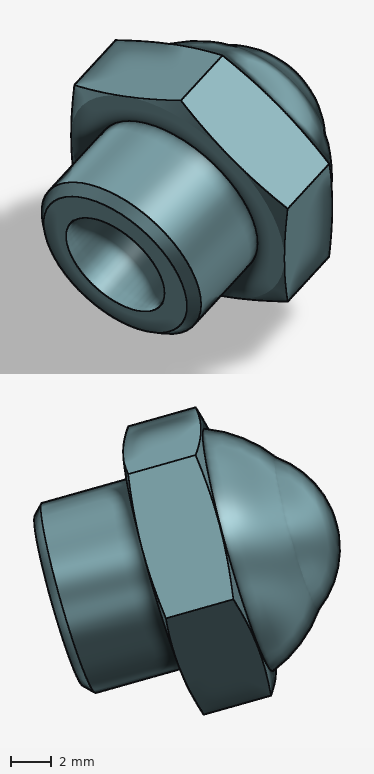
import cadquery as cq
import math


shank_diameter = 9.73
shank_length = 5.2
shank_chamfer = 0.5

hex_across_flats = 13.0
hex_thickness = 4.0
hex_chamfer_angle = 15.0

dome_base_radius = 6.2
dome_base_height = 3.0
tip_edge_radius = 3.9
tip_height = 2.0

bore_diameter = 6.0

flat_radius = hex_across_flats / 2
corner_radius = flat_radius / math.cos(math.radians(30))
hex_start = shank_length
hex_end = hex_start + hex_thickness
tip_start = hex_end + dome_base_height
tip_end = tip_start + tip_height


def revolve_profile(profile):
    """Revolve a closed XY half profile around the Y axis."""
    return profile.close().revolve(360, (0, 0, 0), (0, 1, 0))


def point_on_sphere(center_y, radius, y):
    """Profile point, at height y, of a sphere centred on the Y axis."""
    return (math.sqrt(radius**2 - (y - center_y)**2), y)


def make_shank():
    shank = cq.Workplane("XZ").circle(shank_diameter / 2).extrude(-hex_end)
    return shank.faces("<Y").chamfer(shank_chamfer)


def make_hexagon():
    prism = (
        cq.Workplane("XZ", origin=(0, hex_start, 0))
        .polygon(6, 2 * corner_radius)
        .extrude(-hex_thickness)
        .rotate((0, 0, 0), (0, 1, 0), 30)
    )
    corner_drop = (corner_radius - flat_radius) * math.tan(math.radians(hex_chamfer_angle))
    corner_trim = revolve_profile(
        cq.Workplane("XY")
        .moveTo(0, hex_start)
        .lineTo(flat_radius, hex_start)
        .lineTo(corner_radius, hex_start + corner_drop)
        .lineTo(corner_radius, hex_end - corner_drop)
        .lineTo(flat_radius, hex_end)
        .lineTo(0, hex_end)
    )
    return prism.intersect(corner_trim)


def make_dome():
    center_offset = (
        dome_base_radius**2 - tip_edge_radius**2 - dome_base_height**2
    ) / (2 * dome_base_height)
    base_center = hex_end - center_offset
    base_sphere_radius = math.hypot(dome_base_radius, center_offset)
    base_middle = point_on_sphere(base_center, base_sphere_radius, (hex_end + tip_start) / 2)
    tip_sphere_radius = (tip_edge_radius**2 + tip_height**2) / (2 * tip_height)
    tip_center = tip_end - tip_sphere_radius
    tip_middle = point_on_sphere(tip_center, tip_sphere_radius, (tip_start + tip_end) / 2)
    return revolve_profile(
        cq.Workplane("XY")
        .moveTo(0, hex_end)
        .lineTo(dome_base_radius, hex_end)
        .threePointArc(base_middle, (tip_edge_radius, tip_start))
        .threePointArc(tip_middle, (0, tip_end))
    )


def make_bore():
    bore_radius = bore_diameter / 2
    bottom_middle = point_on_sphere(hex_end, bore_radius, hex_end + bore_radius / 2)
    return revolve_profile(
        cq.Workplane("XY")
        .lineTo(bore_radius, 0)
        .lineTo(bore_radius, hex_end)
        .threePointArc(bottom_middle, (0, hex_end + bore_radius))
    )


result = make_shank().union(make_hexagon()).union(make_dome()).cut(make_bore())